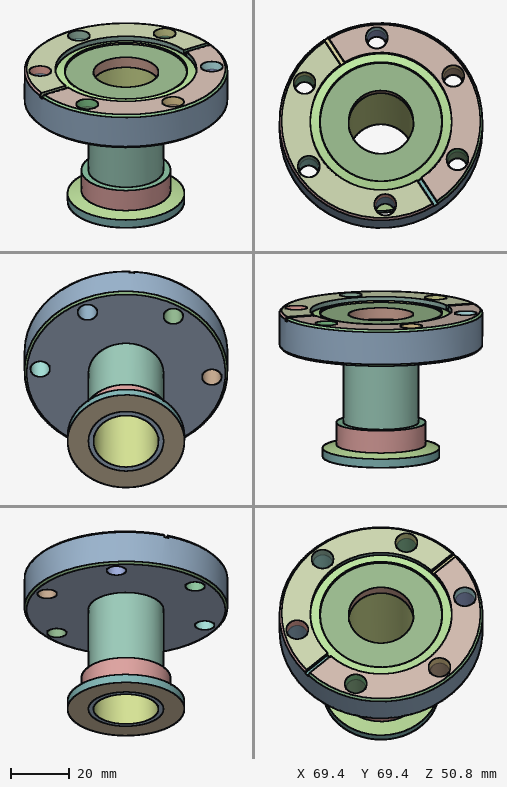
import cadquery as cq

total_height = 50.8
bore_radius = 11.1

flange_radius = 34.7
flange_thickness = 12.7
flange_chamfer = 0.75
recess_radius = 24.1
recess_depth = 1.7
knife_radius = 20.95
knife_depth = 0.75
floor_radius = 20.7
floor_depth = 1.3
flange_bottom = total_height - flange_thickness

bolt_count = 6
bolt_circle_radius = 29.3
bolt_hole_radius = 3.3
bolt_mouth_radius = 3.75
bolt_mouth_depth = 2.65

groove_count = 2
groove_angle = 60.0
groove_width = 1.6
groove_depth = 1.3

tube_radius = 12.8
tube_seat_depth = 5.2
tube_top = total_height - tube_seat_depth

ferrule_radius = 20.0
ferrule_rim_height = 3.05
collar_radius = 15.25
collar_base = 4.2
collar_top = 11.9


def ring(outer_radius, inner_radius, bottom, top):
    """Plain hollow cylinder between two heights."""
    return (
        cq.Workplane("XY", origin=(0, 0, bottom))
        .circle(outer_radius)
        .circle(inner_radius)
        .extrude(top - bottom)
    )


def revolve_profile(points):
    """Revolve a closed (radius, z) outline about Z."""
    return cq.Workplane("XZ").polyline(points).close().revolve(360, (0, 0, 0), (0, 1, 0))


def cut_bolt_holes(body):
    """Through holes, each with a steep tapered mouth in the sealing face."""
    cutter = revolve_profile([
        (0, flange_bottom),
        (bolt_hole_radius, flange_bottom),
        (bolt_hole_radius, total_height - bolt_mouth_depth),
        (bolt_mouth_radius, total_height),
        (0, total_height),
    ]).translate((0, bolt_circle_radius, 0))
    for index in range(bolt_count):
        body = body.cut(cutter.rotate((0, 0, 0), (0, 0, 1), index * 360 / bolt_count))
    return body


def cut_leak_grooves(body):
    """Radial grooves from the knife recess out through the rim."""
    inner_end = recess_radius - groove_width / 2
    groove_length = flange_radius - inner_end
    for index in range(groove_count):
        groove = (
            cq.Workplane("XY", origin=(0, 0, total_height - groove_depth))
            .center(inner_end + groove_length / 2, 0)
            .rect(groove_length, groove_width)
            .extrude(groove_depth)
            .rotate((0, 0, 0), (0, 0, 1), groove_angle + index * 360 / groove_count)
        )
        body = body.cut(groove)
    return body


def make_flange():
    """Bolted flange with a knife edge above and a tube socket below."""
    body = ring(flange_radius, bore_radius, flange_bottom, total_height)
    rim_edges = cq.selectors.RadiusNthSelector(-1)
    body = body.faces("<Z or >Z").edges(rim_edges).chamfer(flange_chamfer)
    recess = revolve_profile([
        (0, total_height),
        (recess_radius, total_height),
        (recess_radius, total_height - recess_depth),
        (knife_radius, total_height - knife_depth),
        (floor_radius, total_height - floor_depth),
        (0, total_height - floor_depth),
    ])
    socket = (
        cq.Workplane("XY", origin=(0, 0, flange_bottom))
        .circle(tube_radius)
        .extrude(tube_top - flange_bottom)
    )
    body = cut_bolt_holes(body)
    return cut_leak_grooves(body.cut(recess).cut(socket))


def make_tube():
    """Straight tube from the foot up to the seat inside the flange."""
    return ring(tube_radius, bore_radius, 0, tube_top)


def make_ferrule():
    """Clamp ferrule: rim, sloped shoulder and collar around the tube."""
    return revolve_profile([
        (tube_radius, 0),
        (ferrule_radius, 0),
        (ferrule_radius, ferrule_rim_height),
        (collar_radius, collar_base),
        (collar_radius, collar_top),
        (tube_radius, collar_top),
    ])


flange = make_flange()
tube = make_tube()
ferrule = make_ferrule()

result = cq.Compound.makeCompound([flange.val(), tube.val(), ferrule.val()])